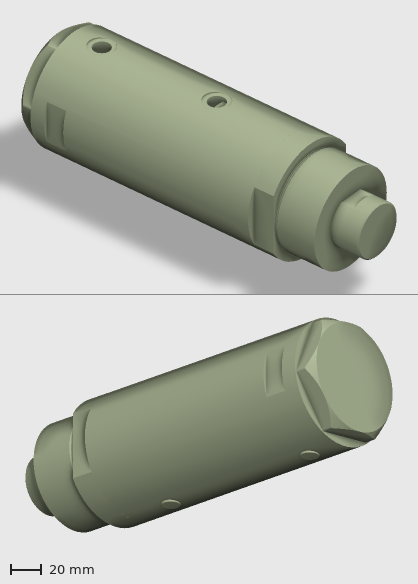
import cadquery as cq
import math


outer_radius = 44.0
bore_radius = 31.5
rod_radius = 20.5

hex_across_flats = 75.0
hex_corner_radius = 43.0
hex_turn = 7.5
hex_height = 13.0
cap_flange_thickness = 2.0
cap_face_radius = 37.5
cap_chamfer = hex_corner_radius - cap_face_radius
cap_end = hex_height + cap_flange_thickness
cap_spigot_end = 40.5

barrel_end = 196.0
side_flat_start = 24.5
side_flat_width = 16.0
side_flat_offset = 41.0
rear_port_x = 37.2
front_port_x = 134.0
port_radius = 6.6
spotface_radius = 10.1
spotface_depth = 1.2
pad_positions = (39.0, 160.0)
pad_radius = 6.25
pad_height = 1.1
pad_rounding = 0.5

gland_start = front_port_x
gland_spigot_radius = 40.0
wrench_flat_offset = 37.5
gland_flange_end = 212.3
neck_radius = 36.8
groove_start = 212.9
groove_width = 0.8
groove_depth = 0.5
collar_start = 214.4
collar_end = 246.5
collar_radius = 37.5
collar_chamfer = 0.8

piston_length = 30.0
rod_end = 269.47
rod_flat_offset = 18.0
rod_flat_end = 257.4
rod_chamfer = 1.0


def cylinder(start, end, radius):
    """Cylinder on the X axis between two stations."""
    return cq.Workplane("YZ").workplane(offset=start).circle(radius).extrude(end - start)


def outside_flats(start, end, offset, axis):
    """Pair of blocks lying beyond +offset and -offset along Y or Z."""
    length = end - start
    thickness = 2 * outer_radius
    width = 4 * outer_radius
    distance = offset + thickness / 2
    middle = (start + end) / 2
    blocks = cq.Workplane("XY")
    for side in (-1, 1):
        if axis == "Y":
            block = cq.Workplane("XY").box(length, thickness, width)
            block = block.translate((middle, side * distance, 0))
        else:
            block = cq.Workplane("XY").box(length, width, thickness)
            block = block.translate((middle, 0, side * distance))
        blocks = blocks.add(block)
    return blocks.combine()


def make_cap():
    """Hexagonal head with a chamfered face, a thin flange and a spigot in the bore."""
    hexagon_diameter = hex_across_flats / math.cos(math.radians(30))
    head = cq.Workplane("YZ").polygon(6, hexagon_diameter).extrude(hex_height)
    head = head.rotate((0, 0, 0), (1, 0, 0), -hex_turn)
    turned_blank = cylinder(0, hex_height, hex_corner_radius).faces("<X").chamfer(cap_chamfer)
    head = head.intersect(turned_blank)
    flange = cylinder(hex_height, cap_end, outer_radius)
    spigot = cylinder(cap_end, cap_spigot_end, bore_radius)
    return head.union(flange).union(spigot)


def cut_port(barrel, x):
    """Round port from the top into the bore, with a shallow spotface."""
    top = cq.Workplane("XY").workplane(offset=outer_radius).center(x, 0)
    barrel = barrel.cut(top.circle(spotface_radius).extrude(-spotface_depth))
    return barrel.cut(top.circle(port_radius).extrude(-outer_radius))


def make_pad(x):
    """Round pad standing on the underside of the barrel wall."""
    pad_bottom = -(outer_radius + pad_height)
    wall_middle = (outer_radius + gland_spigot_radius) / 2
    pad = cq.Workplane("XY").workplane(offset=pad_bottom).center(x, 0).circle(pad_radius)
    return pad.extrude(-wall_middle - pad_bottom).faces("<Z").edges().fillet(pad_rounding)


def make_barrel():
    """Tube with a gland counterbore, side flats, two ports and two bottom pads."""
    barrel = cylinder(cap_end, barrel_end, outer_radius)
    barrel = barrel.cut(cylinder(cap_end, barrel_end, bore_radius))
    barrel = barrel.cut(cylinder(gland_start, barrel_end, gland_spigot_radius))
    side_flat_end = side_flat_start + side_flat_width
    barrel = barrel.cut(outside_flats(side_flat_start, side_flat_end, side_flat_offset, "Y"))
    for x in (rear_port_x, front_port_x):
        barrel = cut_port(barrel, x)
    for x in pad_positions:
        barrel = barrel.union(make_pad(x))
    return barrel


def make_gland():
    """Rod guide: spigot, flange with wrench flats, grooved neck and front collar."""
    spigot = cylinder(gland_start, barrel_end, gland_spigot_radius)
    flange = cylinder(barrel_end, gland_flange_end, outer_radius)
    flange = flange.cut(outside_flats(barrel_end, gland_flange_end, wrench_flat_offset, "Y"))
    neck = cylinder(gland_flange_end, collar_start, neck_radius)
    groove_end = groove_start + groove_width
    groove = cylinder(groove_start, groove_end, neck_radius)
    groove = groove.cut(cylinder(groove_start, groove_end, neck_radius - groove_depth))
    neck = neck.cut(groove)
    collar = cylinder(collar_start, collar_end, collar_radius).faces("<X").chamfer(collar_chamfer)
    gland = spigot.union(flange).union(neck).union(collar)
    return gland.cut(cylinder(gland_start, collar_end, rod_radius))


def make_piston_rod():
    """Piston resting on the cap spigot, with a rod that has two flats near its end."""
    piston = cylinder(cap_spigot_end, cap_spigot_end + piston_length, bore_radius)
    rod = cylinder(cap_spigot_end, rod_end, rod_radius).faces(">X").chamfer(rod_chamfer)
    rod = rod.cut(outside_flats(collar_end, rod_flat_end, rod_flat_offset, "Z"))
    return piston.union(rod)


cap = make_cap()
barrel = make_barrel()
gland = make_gland()
piston_rod = make_piston_rod()

bodies = [cap, barrel, gland, piston_rod]
result = cq.Compound.makeCompound([body.solids().val() for body in bodies])